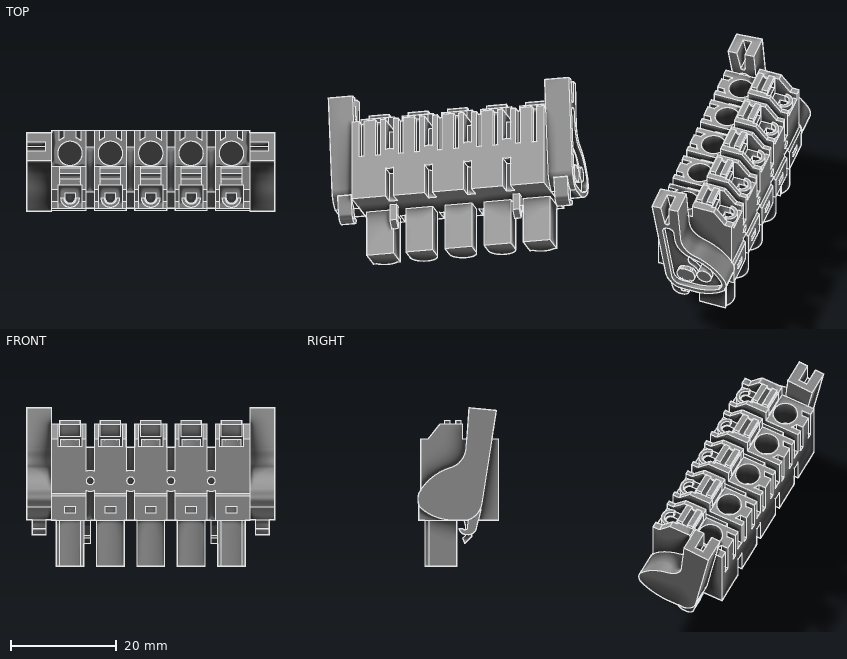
import cadquery as cq
import math


total_width = 46.9
lever_width = 4.75
housing_width = total_width - 2 * lever_width
pole_count = 5
pole_span = 30.5
pole_pitch = pole_span / (pole_count - 1)
pole_xs = [(i - (pole_count - 1) / 2) * pole_pitch for i in range(pole_count)]
gap_xs = [x + pole_pitch / 2 for x in pole_xs[:-1]]

housing_depth = 14.75
shoulder_z = 15.4
crown_z = 18.2
crown_back_y = 7.95
slope_top_y = 3.6
slope_foot_y = 1.35

foot_step = 0.4
foot_bevel_z = 4.65
foot_window_width = 2.05
foot_window_height = 1.15
foot_window_z = 1.4
foot_window_depth = 0.7

gap_width = 1.55
gap_depth = 3.1
web_top_z = 13.85
boss_z = 7.45
boss_diameter = 4.0
boss_hole_diameter = 1.45
boss_hole_depth = 1.9

wire_y = 10.4
wire_radius = 2.3
wire_depth = 7.05
groove_inner_x = 1.13
groove_outer_x = 2.05
groove_depth = 7.05
groove_clear_radius = 3.2

recess_width = 4.55
recess_depth = 4.45
recess_floor_z = 14.0
socket_y = 1.95
socket_outer_diameter = 3.5
socket_inner_diameter = 2.3
socket_top_z = 15.25
socket_hole_radius = 1.0
socket_hole_depth = 2.35

actuator_width = 3.9
actuator_floor_z = 15.8
actuator_brow_z = 18.05
actuator_face_setback = 0.65
ridge_top_z = 18.9
rear_ridge_back_y = 7.65
ridge_groove_y = 6.05
ridge_groove_z = 18.35
ridge_groove_radius = 0.5

prong_width = 5.25
prong_bottom_z = -8.7
prong_front_y = 0.8
prong_back_y = 6.8
prong_shoulder_y = 1.6
prong_nose_width = 4.0

latch_width = 1.25
latch_x = pole_xs[-1] - prong_width / 2 - latch_width / 2

lever_bottom_z = 0.1
lever_recess_depth = 1.1
notch_length = 3.55
hook_width = 2.65
hook_root_z = 2.05
pivot_y = 7.55
pivot_z = 3.9
pivot_head_radius = 1.8
pivot_flat_span = 2.7
pivot_core_radius = 1.55
pivot_height = 0.9
cam_radius = 3.8
cam_half_width = 1.4
cam_depth = 1.13
cam_start_angle = 165.0
cam_end_angle = 114.0
cam_pin_height = 2.05


def box(x_center, width, y_min, y_max, z_min, z_max):
    """Box centred on x_center in X and given by its limits in Y and Z."""
    block = cq.Workplane("XY").box(width, y_max - y_min, z_max - z_min, centered=(True, False, False))
    return block.translate((x_center, y_min, z_min))


def upright(radius, x, y, z_min, z_max):
    """Vertical cylinder."""
    return cq.Workplane("XY", origin=(x, y, z_min)).circle(radius).extrude(z_max - z_min)


def along_y(radius, x, z, y_min, y_max):
    """Cylinder parallel to Y."""
    return cq.Workplane("XZ", origin=(x, y_min, z)).circle(radius).extrude(-(y_max - y_min))


def side_plane(x):
    """Plane normal to X whose local axes are Y and Z."""
    return cq.Workplane("YZ", origin=(x, 0, 0))


def housing_block():
    outline = [
        (-foot_step, 0),
        (housing_depth, 0),
        (housing_depth, shoulder_z),
        (crown_back_y, shoulder_z),
        (crown_back_y, crown_z),
        (slope_top_y, crown_z),
        (slope_foot_y, shoulder_z),
        (0, shoulder_z),
        (0, foot_bevel_z + foot_step),
        (-foot_step, foot_bevel_z),
    ]
    return side_plane(-housing_width / 2).polyline(outline).close().extrude(housing_width)


def pole_gap(x):
    """Space between two poles: front and rear slots around a tubular boss, open above the web."""
    front_slot = box(x, gap_width, -foot_step, gap_depth, 0, crown_z)
    rear_slot = box(x, gap_width, housing_depth - gap_depth, housing_depth, 0, crown_z)
    above_web = box(x, gap_width, 0, housing_depth, web_top_z, crown_z)
    boss = along_y(boss_diameter / 2, x, boss_z, 0, housing_depth)
    hole = along_y(boss_hole_diameter / 2, x, boss_z, 0, boss_hole_depth)
    return front_slot.union(rear_slot).union(above_web).cut(boss).union(hole)


def rear_grooves(x):
    """Two blind grooves down the back face, ending on a circle around the wire entry."""
    width = groove_outer_x - groove_inner_x
    floor_z = shoulder_z - groove_depth
    offset = (groove_inner_x + groove_outer_x) / 2
    left = box(x - offset, width, wire_y, housing_depth, floor_z, shoulder_z)
    right = box(x + offset, width, wire_y, housing_depth, floor_z, shoulder_z)
    return left.union(right).cut(upright(groove_clear_radius, x, wire_y, floor_z, shoulder_z))


def wire_entry(x):
    return upright(wire_radius, x, wire_y, shoulder_z - wire_depth, shoulder_z)


def foot_window(x):
    top_z = foot_window_z + foot_window_height
    return box(x, foot_window_width, -foot_step, foot_window_depth - foot_step, foot_window_z, top_z)


def front_recess(x):
    return box(x, recess_width, 0, recess_depth, recess_floor_z, crown_z)


def actuator_pocket(x):
    return box(x, actuator_width, recess_depth, crown_back_y, actuator_floor_z, crown_z)


def socket_wall(x):
    """Half ring standing on the recess floor, open to the rear."""
    ring = upright(socket_outer_diameter / 2, x, socket_y, recess_floor_z, socket_top_z)
    ring = ring.cut(upright(socket_inner_diameter / 2, x, socket_y, recess_floor_z, socket_top_z))
    front_half = box(x, socket_outer_diameter, 0, socket_y, recess_floor_z, socket_top_z)
    return ring.intersect(front_half)


def socket_hole(x):
    """U-shaped hole in the recess floor."""
    bottom_z = recess_floor_z - socket_hole_depth
    hole = upright(socket_hole_radius, x, socket_y, bottom_z, recess_floor_z)
    rear_y = socket_y + socket_hole_radius
    return hole.union(box(x, 2 * socket_hole_radius, socket_y, rear_y, bottom_z, recess_floor_z))


def end_prong(x):
    """Prong with square shoulders beside a rounded nose."""
    half = prong_width / 2
    nose = prong_nose_width / 2
    outline = (
        cq.Workplane("XY", origin=(x, 0, prong_bottom_z))
        .moveTo(-half, prong_back_y)
        .lineTo(-half, prong_shoulder_y)
        .lineTo(-nose, prong_shoulder_y)
        .threePointArc((0, prong_front_y), (nose, prong_shoulder_y))
        .lineTo(half, prong_shoulder_y)
        .lineTo(half, prong_back_y)
        .close()
    )
    return outline.extrude(-prong_bottom_z)


def inner_prong(x):
    """Prong with a fully round front."""
    radius = prong_width / 2
    axis_y = prong_front_y + radius
    body = box(x, prong_width, axis_y, prong_back_y, prong_bottom_z, 0)
    return body.union(upright(radius, x, axis_y, prong_bottom_z, 0))


def latch(x):
    """Barbed catch hanging below the housing."""
    outline = [
        (9.65, 0),
        (8.15, 0),
        (8.45, -1.0),
        (8.45, -2.85),
        (7.95, -3.4),
        (8.3, -4.4),
        (9.65, -3.05),
    ]
    return side_plane(x - latch_width / 2).polyline(outline).close().extrude(latch_width)


def make_housing():
    body = housing_block()
    for x in gap_xs:
        body = body.cut(pole_gap(x))
    for x in pole_xs:
        body = body.cut(rear_grooves(x))
        body = body.cut(wire_entry(x))
        body = body.cut(foot_window(x))
        body = body.cut(front_recess(x))
        body = body.cut(actuator_pocket(x))
        body = body.cut(socket_hole(x))
        body = body.union(socket_wall(x))
    for x in (pole_xs[0], pole_xs[-1]):
        body = body.union(end_prong(x))
    for x in pole_xs[1:-1]:
        body = body.union(inner_prong(x))
    for x in (-latch_x, latch_x):
        body = body.union(latch(x))
    return body


def make_actuator(x):
    """Push block with two ridges on top and a hollow groove between them."""
    outline = (
        side_plane(x - actuator_width / 2)
        .moveTo(crown_back_y, actuator_floor_z)
        .lineTo(crown_back_y, crown_z)
        .lineTo(rear_ridge_back_y, crown_z)
        .lineTo(rear_ridge_back_y, ridge_top_z)
        .lineTo(ridge_groove_y + ridge_groove_radius, ridge_top_z)
        .lineTo(ridge_groove_y + ridge_groove_radius, ridge_groove_z)
        .threePointArc(
            (ridge_groove_y, ridge_groove_z - ridge_groove_radius),
            (ridge_groove_y - ridge_groove_radius, ridge_groove_z),
        )
        .lineTo(ridge_groove_y - ridge_groove_radius, ridge_top_z)
        .lineTo(recess_depth, ridge_top_z)
        .lineTo(recess_depth, actuator_brow_z)
        .lineTo(recess_depth + actuator_face_setback, actuator_brow_z)
        .lineTo(recess_depth + actuator_face_setback, actuator_floor_z)
        .close()
    )
    return outline.extrude(actuator_width)


def lever_plate(x):
    """Handle running down into a rounded cam plate."""
    outline = (
        side_plane(x)
        .moveTo(14.3, 20.8)
        .lineTo(9.1, 21.3)
        .lineTo(8.55, 13.6)
        .threePointArc((7.95, 11.75), (5.72, 10.0))
        .threePointArc((2.65, 8.5), (0, 5.75))
        .threePointArc((-0.55, 4.1), (-0.15, 2.5))
        .threePointArc((2.15, 0.95), (5.15, lever_bottom_z))
        .lineTo(8.95, lever_bottom_z)
        .threePointArc((10.65, 1.2), (11.55, 3.05))
        .close()
    )
    return outline.extrude(lever_width)


def lever_recess(x):
    """Shallow recess in the -X face, following the rim of the plate."""
    outline = (
        side_plane(x)
        .moveTo(12.15, 14.7)
        .lineTo(10.3, 2.67)
        .threePointArc((9.75, 1.6), (8.7, 1.1))
        .lineTo(5.35, 1.1)
        .threePointArc((2.85, 1.6), (0.95, 2.5))
        .threePointArc((0.35, 3.55), (0.55, 4.97))
        .threePointArc((2.85, 7.6), (6.4, 9.2))
        .threePointArc((8.95, 11.05), (9.75, 13.45))
        .lineTo(9.9, 14.87)
        .threePointArc((11.0, 15.8), (12.15, 14.7))
        .close()
    )
    return outline.extrude(lever_recess_depth)


def lever_notch(x):
    """Tapered notch in the top of the handle, open to the -X face."""
    open_z = 21.6
    outline = (
        side_plane(x)
        .moveTo(10.9, open_z)
        .lineTo(10.9, 17.1)
        .threePointArc((11.3, 16.75), (11.75, 17.0))
        .lineTo(12.65, open_z)
        .close()
    )
    return outline.extrude(notch_length)


def lever_hook(x):
    """Hook below the plate."""
    outline = (
        side_plane(x + (lever_width - hook_width) / 2)
        .moveTo(11.4, hook_root_z)
        .lineTo(10.55, -1.35)
        .threePointArc((10.0, -2.35), (9.05, -2.7))
        .lineTo(8.3, -2.67)
        .threePointArc((7.6, -2.3), (7.23, -1.55))
        .lineTo(8.05, -1.6)
        .lineTo(8.15, -1.75)
        .lineTo(8.77, -1.75)
        .lineTo(8.95, lever_bottom_z)
        .lineTo(8.95, hook_root_z)
        .close()
    )
    return outline.extrude(hook_width)


def cam_point(radius, angle):
    """Point at a radius and angle about the lever pivot."""
    turn = math.radians(angle)
    return (pivot_y + radius * math.cos(turn), pivot_z + radius * math.sin(turn))


def cam_slot(x):
    """Curved slot in the recess floor, concentric with the pivot."""
    inner = cam_radius - cam_half_width
    outer = cam_radius + cam_half_width
    mid_angle = (cam_start_angle + cam_end_angle) / 2
    sector = (
        side_plane(x)
        .moveTo(*cam_point(inner, cam_start_angle))
        .threePointArc(cam_point(inner, mid_angle), cam_point(inner, cam_end_angle))
        .lineTo(*cam_point(outer, cam_end_angle))
        .threePointArc(cam_point(outer, mid_angle), cam_point(outer, cam_start_angle))
        .close()
        .extrude(cam_depth)
    )
    for angle in (cam_start_angle, cam_end_angle):
        end = side_plane(x).center(*cam_point(cam_radius, angle)).circle(cam_half_width).extrude(cam_depth)
        sector = sector.union(end)
    return sector


def cam_pin(x):
    """Pin filling the lower end of the curved slot."""
    base = side_plane(x).center(*cam_point(cam_radius, cam_start_angle))
    return base.circle(cam_half_width).extrude(-cam_pin_height)


def pivot_head(x):
    """Head with two flats and a round core showing beyond them."""
    base = side_plane(x).center(pivot_y, pivot_z)
    head = base.circle(pivot_head_radius).extrude(-pivot_height)
    flats = base.rect(2 * pivot_head_radius, pivot_flat_span).extrude(-pivot_height)
    core = base.circle(pivot_core_radius).extrude(-pivot_height)
    return head.intersect(flats).union(core)


def make_lever(x):
    """Lever whose -X face, the recessed one, lies at x."""
    recess_floor_x = x + lever_recess_depth
    body = lever_plate(x).union(lever_hook(x))
    body = body.cut(lever_notch(x))
    body = body.cut(lever_recess(x))
    body = body.cut(cam_slot(recess_floor_x))
    body = body.union(cam_pin(recess_floor_x + cam_depth))
    return body.union(pivot_head(recess_floor_x))


housing = make_housing()
actuators = [make_actuator(x) for x in pole_xs]
levers = [make_lever(x) for x in (-total_width / 2, housing_width / 2)]

result = cq.Compound.makeCompound([
    housing.solids().val(),
    *[actuator.solids().val() for actuator in actuators],
    *[lever.solids().val() for lever in levers],
])